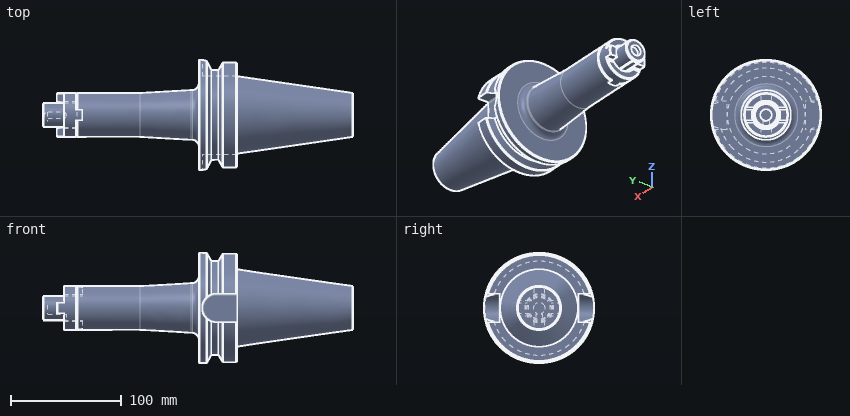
import cadquery as cq
import math


total_length = 280.8
taper_length = 104.7
flange_length = 35.0
flange_rear_x = total_length - taper_length
flange_front_x = flange_rear_x - flange_length

pilot_diameter = 22.0
pilot_chamfer = 1.0
screw_hole_diameter = 10.5
screw_hole_depth = 4.2

shank_front_x = 30.5
shank_diameter = 40.0
shank_chamfer = 0.8
cone_front_x = 87.5
neck_diameter = 45.2
neck_front_x = 133.7
neck_fillet = 6.0

flange_diameter = 100.0
rear_collar_diameter = 98.5
groove_diameter = 85.5
groove_floor_front_x = 152.5
groove_floor_rear_x = 159.0
groove_wall_angle = 30.0
flange_front_chamfer = 0.8
groove_rim_chamfer = 0.5
collar_rear_chamfer = 1.5

taper_base_diameter = 70.2
taper_end_diameter = 40.2
taper_end_chamfer = 1.0

slot_width = 25.8
slot_front_x = 144.0
slot_floor_y = 35.5
slot_floor_fillet = 0.8

ring_front_x = 18.8
ring_bore_diameter = 24.5
ring_chamfer = 0.8
tenon_width = 9.5
front_tenon_tip_x = 12.5
rear_tenon_tip_x = 35.7
relief_width = 14.3
relief_depth = 0.8

key_width = 6.0
key_front_x = 1.0
key_length = 20.0
key_height = 6.0
key_outer_z = -11.8


def rod(diameter, x_start, x_end):
    """Cylinder on the axis that spans the given X range."""
    return cq.Workplane("YZ", origin=(x_start, 0, 0)).circle(diameter / 2).extrude(x_end - x_start)


def bar(width_y, width_z, x_start, x_end):
    """Rectangular bar on the axis that spans the given X range."""
    return cq.Workplane("YZ", origin=(x_start, 0, 0)).rect(width_y, width_z).extrude(x_end - x_start)


def sleeve(x_start, x_end):
    """Tube with the outer diameter and the bore of the drive ring."""
    return rod(shank_diameter, x_start, x_end).cut(rod(ring_bore_diameter, x_start, x_end))


def make_turned_body():
    """Revolve the pilot, shank, flange and taper in one outline."""
    pilot_r = pilot_diameter / 2
    shank_r = shank_diameter / 2
    neck_r = neck_diameter / 2
    flange_r = flange_diameter / 2
    groove_r = groove_diameter / 2
    collar_r = rear_collar_diameter / 2
    base_r = taper_base_diameter / 2
    end_r = taper_end_diameter / 2

    wall_slope = math.tan(math.radians(groove_wall_angle))
    disc_rim_x = groove_floor_front_x - (flange_r - groove_r) * wall_slope
    collar_rim_x = groove_floor_rear_x + (collar_r - groove_r) * wall_slope

    fillet_middle = neck_fillet * math.sin(math.radians(45))
    fillet_start = (flange_front_x - neck_fillet, neck_r)
    fillet_mid = (flange_front_x - neck_fillet + fillet_middle, neck_r + neck_fillet - fillet_middle)
    fillet_end = (flange_front_x, neck_r + neck_fillet)

    return (
        cq.Workplane("XY")
        .moveTo(0, 0)
        .lineTo(0, pilot_r - pilot_chamfer)
        .lineTo(pilot_chamfer, pilot_r)
        .lineTo(shank_front_x, pilot_r)
        .lineTo(shank_front_x, shank_r - shank_chamfer)
        .lineTo(shank_front_x + shank_chamfer, shank_r)
        .lineTo(cone_front_x, shank_r)
        .lineTo(neck_front_x, neck_r)
        .lineTo(*fillet_start)
        .threePointArc(fillet_mid, fillet_end)
        .lineTo(flange_front_x, flange_r - flange_front_chamfer)
        .lineTo(flange_front_x + flange_front_chamfer, flange_r)
        .lineTo(disc_rim_x - groove_rim_chamfer, flange_r)
        .lineTo(disc_rim_x + groove_rim_chamfer * wall_slope, flange_r - groove_rim_chamfer)
        .lineTo(groove_floor_front_x, groove_r)
        .lineTo(groove_floor_rear_x, groove_r)
        .lineTo(collar_rim_x - groove_rim_chamfer * wall_slope, collar_r - groove_rim_chamfer)
        .lineTo(collar_rim_x + groove_rim_chamfer, collar_r)
        .lineTo(flange_rear_x - collar_rear_chamfer, collar_r)
        .lineTo(flange_rear_x, collar_r - collar_rear_chamfer)
        .lineTo(flange_rear_x, base_r)
        .lineTo(total_length - taper_end_chamfer, end_r)
        .lineTo(total_length, end_r - taper_end_chamfer)
        .lineTo(total_length, 0)
        .close()
        .revolve(360, (0, 0, 0), (1, 0, 0))
    )


def make_drive_slot():
    """Volume of the drive slot on the +Y side; its round front end has a filleted floor.

    It runs out past the rear of the flange, just above the taper.
    """
    slot_length = flange_rear_x + slot_width - slot_front_x
    slot_depth = flange_diameter / 2 - slot_floor_y
    return (
        cq.Workplane("ZX", origin=(0, slot_floor_y, 0))
        .center(0, slot_front_x + slot_length / 2)
        .slot2D(slot_length, slot_width, 90)
        .extrude(slot_depth)
        .faces("<Y")
        .edges()
        .fillet(slot_floor_fillet)
    )


def make_rear_tenons():
    """Pair of tenons at +Z and -Z that reach from the ring into the shank."""
    root_x = shank_front_x - ring_chamfer
    return sleeve(root_x, rear_tenon_tip_x).intersect(
        bar(tenon_width, shank_diameter, root_x, rear_tenon_tip_x)
    )


def make_front_tenons():
    """Pair of chamfered tenons at +Y and -Y that drive the cutter."""
    root_x = ring_front_x + relief_depth
    tube = sleeve(front_tenon_tip_x, root_x).faces("<X").edges().chamfer(ring_chamfer)
    return tube.intersect(bar(shank_diameter, tenon_width, front_tenon_tip_x, root_x))


def make_drive_ring():
    """Ring with a shallow relief across its front face and tenons on both faces."""
    ring = sleeve(ring_front_x, shank_front_x).faces("<X").edges().chamfer(ring_chamfer)
    ring = ring.faces(">X").edges("%CIRCLE").edges(cq.selectors.RadiusNthSelector(-1)).chamfer(ring_chamfer)
    relief = bar(shank_diameter, relief_width, ring_front_x, ring_front_x + relief_depth)
    return ring.cut(relief).union(make_front_tenons()).union(make_rear_tenons())


def make_key():
    """Round-ended feather key lying along the pilot."""
    return (
        cq.Workplane("XY", origin=(key_front_x + key_length / 2, 0, key_outer_z))
        .slot2D(key_length, key_width)
        .extrude(key_height)
    )


def make_holder():
    """Turned body with the screw hole, drive slots, tenon slots and key seat cut into it."""
    drive_slot = make_drive_slot()
    return (
        make_turned_body()
        .cut(rod(screw_hole_diameter, 0, screw_hole_depth))
        .cut(drive_slot)
        .cut(drive_slot.mirror("XZ"))
        .cut(make_rear_tenons())
        .cut(make_key())
    )


holder = make_holder()
drive_ring = make_drive_ring()
feather_key = make_key()

result = cq.Compound.makeCompound([holder.val(), drive_ring.val(), feather_key.val()])